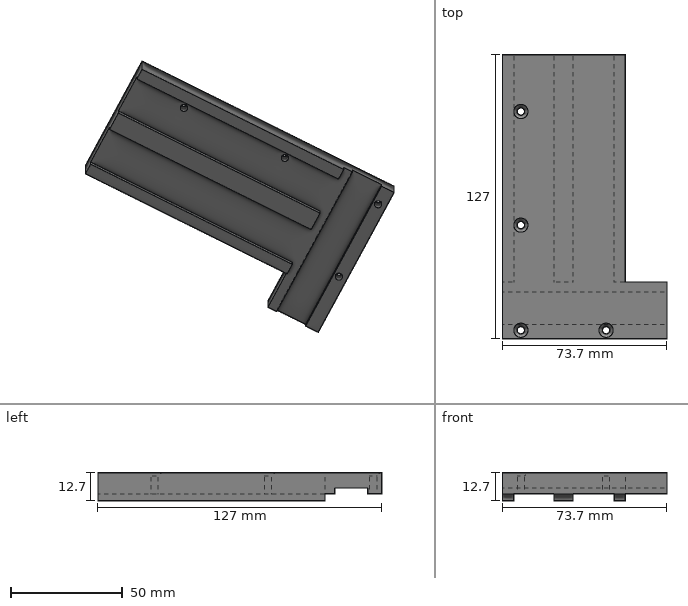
import cadquery as cq

length = 127.0
foot_width = 73.7
foot_length = 25.4
body_width = 55.0
total_height = 12.7
plate_thickness = 9.5
rib_height = total_height - plate_thickness

side_rib_width = 5.1
middle_rib_width = 8.6
middle_rib_start = 23.0

groove_start = 6.4
groove_end = 21.0
groove_depth = 2.5

hole_diameter = 3.2
sink_diameter = 6.4
sink_angle = 90.0
hole_column_x = 8.3
hole_pitch_x = 38.1
foot_hole_y = 3.8
hole_points = [
    (hole_column_x, foot_hole_y),
    (hole_column_x + hole_pitch_x, foot_hole_y),
    (hole_column_x, 50.8),
    (hole_column_x, 101.6),
]


def make_box(x, y, z, size_x, size_y, size_z):
    """Box placed by its lowest corner."""
    return cq.Workplane("XY").box(size_x, size_y, size_z, centered=False).translate((x, y, z))


def make_plate():
    """L-shaped plate standing on the ribs."""
    body = make_box(0, 0, rib_height, body_width, length, plate_thickness)
    foot = make_box(0, 0, rib_height, foot_width, foot_length, plate_thickness)
    return body.union(foot)


def add_ribs(part):
    """Three ribs running from the foot to the far end."""
    ribs = [
        (0, side_rib_width),
        (middle_rib_start, middle_rib_width),
        (body_width - side_rib_width, side_rib_width),
    ]
    for start, width in ribs:
        part = part.union(make_box(start, foot_length, 0, width, length - foot_length, rib_height))
    return part


def cut_groove(part):
    """Groove through the full width of the foot."""
    groove_width = groove_end - groove_start
    return part.cut(make_box(0, groove_start, rib_height, foot_width, groove_width, groove_depth))


def cut_holes(part):
    """Through holes countersunk from the top face."""
    top = part.faces(">Z").workplane(origin=(0, 0, total_height))
    return top.pushPoints(hole_points).cskHole(hole_diameter, sink_diameter, sink_angle)


result = cut_holes(cut_groove(add_ribs(make_plate())))